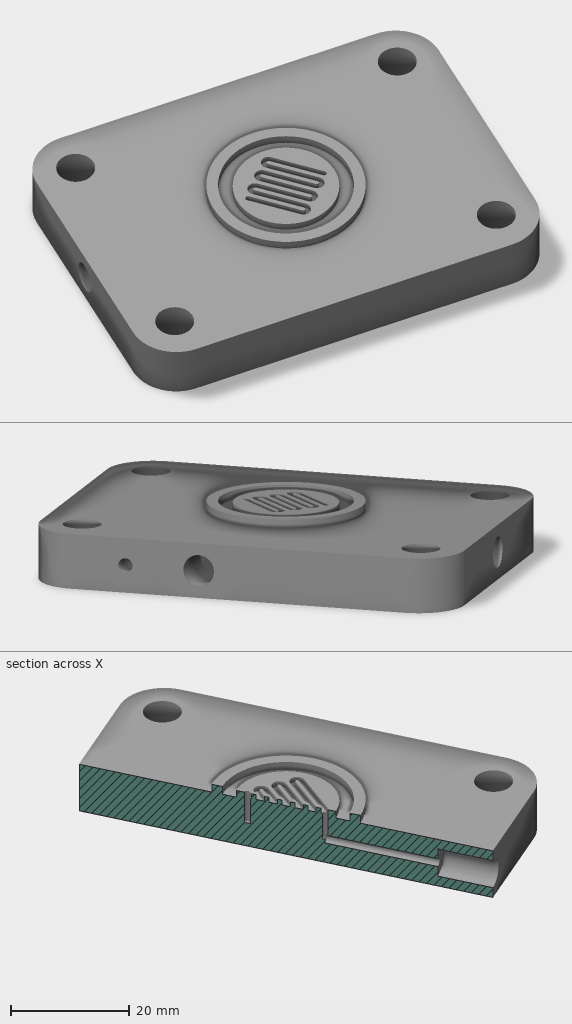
import cadquery as cq
import math

plate_width = 55.0
plate_length = 75.0
plate_height = 9.5
corner_radius = 8.0
bolt_diameter = 6.6
bolt_spacing_x = 40.0
bolt_spacing_y = 60.0

total_height = 11.1
ring_diameter = 27.0
groove_outer_diameter = 23.0
pedestal_diameter = 18.1
groove_depth = total_height - plate_height
pedestal_drop = 0.2
pedestal_top = total_height - pedestal_drop

leg_count = 7
channel_span = 10.0
channel_width = 1.0
channel_depth = 1.0
bend_center = 4.65
leg_pitch = channel_span / (leg_count - 1)
bend_radius = leg_pitch / 2
port_offset = channel_span / math.sqrt(2)

drill_height = plate_height / 2
fitting_diameter = 5.4
fitting_depth = 10.0
feed_diameter = 1.5
probe_diameter = 2.5
probe_depth = 10.0
probe_y = 20.0


def make_body():
    plate = (
        cq.Workplane("XY")
        .rect(plate_width, plate_length)
        .extrude(plate_height)
        .edges("|Z")
        .fillet(corner_radius)
    )
    ring = cq.Workplane("XY").circle(ring_diameter / 2).extrude(total_height)
    bolt_holes = (
        cq.Workplane("XY")
        .rect(bolt_spacing_x, bolt_spacing_y, forConstruction=True)
        .vertices()
        .circle(bolt_diameter / 2)
        .extrude(plate_height)
    )
    groove = (
        cq.Workplane("XY", origin=(0, 0, total_height - groove_depth))
        .circle(groove_outer_diameter / 2)
        .circle(pedestal_diameter / 2)
        .extrude(groove_depth)
    )
    pedestal_relief = (
        cq.Workplane("XY", origin=(0, 0, pedestal_top))
        .circle(pedestal_diameter / 2)
        .extrude(pedestal_drop)
    )
    return plate.union(ring).cut(bolt_holes).cut(groove).cut(pedestal_relief)


def serpentine():
    """Straight legs joined by half-ring bends at alternating ends."""
    floor = cq.Workplane("XY", origin=(0, 0, pedestal_top - channel_depth))
    half_span = channel_span / 2
    outer_radius = bend_radius + channel_width / 2
    inner_radius = bend_radius - channel_width / 2
    channel = None
    for leg in range(leg_count):
        leg_y = half_span - leg * leg_pitch
        right_end = half_span if leg == 0 else bend_center
        left_end = -half_span if leg == leg_count - 1 else -bend_center
        leg_cut = (
            floor.center((left_end + right_end) / 2, leg_y)
            .rect(right_end - left_end, channel_width)
            .extrude(channel_depth)
        )
        channel = leg_cut if channel is None else channel.union(leg_cut)
        if leg < leg_count - 1:
            side = -1 if leg % 2 == 0 else 1
            bend_y = leg_y - bend_radius
            bend = (
                floor.moveTo(side * bend_center, bend_y + outer_radius)
                .threePointArc(
                    (side * (bend_center + outer_radius), bend_y),
                    (side * bend_center, bend_y - outer_radius),
                )
                .lineTo(side * bend_center, bend_y - inner_radius)
                .threePointArc(
                    (side * (bend_center + inner_radius), bend_y),
                    (side * bend_center, bend_y + inner_radius),
                )
                .close()
                .extrude(channel_depth)
            )
            channel = channel.union(bend)
    return channel.rotate((0, 0, 0), (0, 0, 1), 45)


def drilling(start, direction, diameter, depth):
    return cq.Workplane(
        cq.Solid.makeCylinder(diameter / 2, depth, cq.Vector(*start), cq.Vector(*direction))
    )


def fluid_port(start, direction, bore_y, feed_length):
    """Fitting hole, narrow feed and vertical bore up to one end of the serpentine."""
    fitting = drilling(start, direction, fitting_diameter, fitting_depth)
    feed = drilling(start, direction, feed_diameter, feed_length)
    bore = drilling((0, bore_y, drill_height), (0, 0, 1), channel_width, pedestal_top - drill_height)
    return fitting.union(feed).union(bore)


left_x = -plate_width / 2
front_y = -plate_length / 2
left_port = fluid_port((left_x, port_offset, drill_height), (1, 0, 0), port_offset, -left_x)
front_port = fluid_port((0, front_y, drill_height), (0, 1, 0), -port_offset, -front_y - port_offset)
probe_hole = drilling((left_x, probe_y, drill_height), (1, 0, 0), probe_diameter, probe_depth)

result = make_body().cut(serpentine()).cut(left_port).cut(front_port).cut(probe_hole)